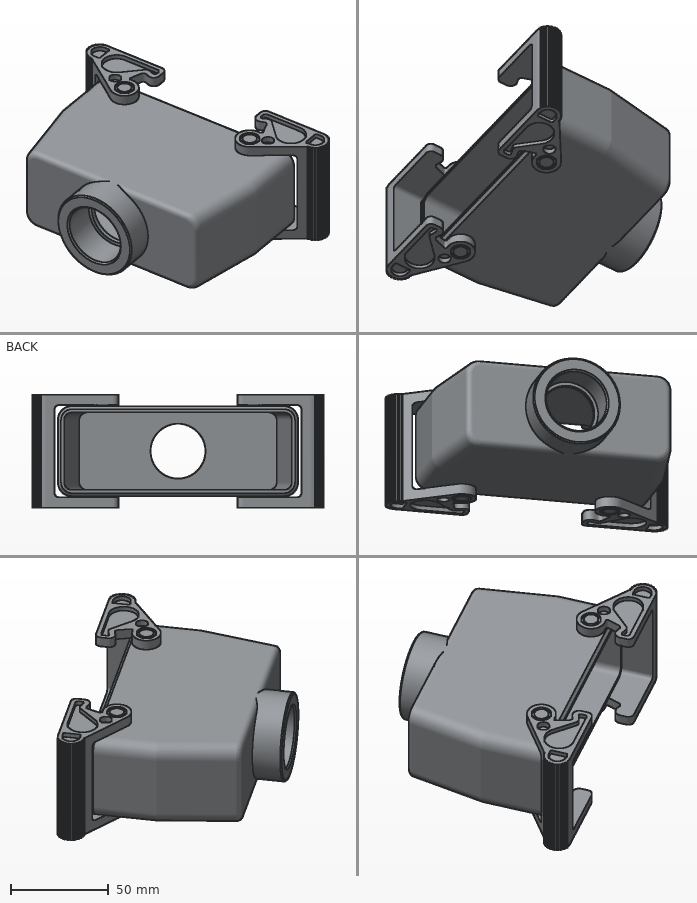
import cadquery as cq
import math


hood_half_width = 61.6
hood_half_height = 23.1
hood_depth = 77.1
taper_start = 34.6
front_half_width = 53.8
end_radius = 7.2
front_radius = 3.0
rim_chamfer = 1.6
wall = 3.3
front_wall = 5.0

overall_depth = 108.0
entry_radius = hood_half_height
entry_chamfer = 0.7
bore_radius = 16.0
bore_chamfer = 0.9
bore_depth = 17.9
mouth_radius = 14.0

lever_height = 58.0
lever_half_height = lever_height / 2
grip_x = -67.4
grip_y = 8.8
grip_radius = 6.9
ridge_height = 0.3
ridge_count = 11
ridge_pitch = 15.0
first_ridge_angle = -4.25 * ridge_pitch
ridge_width = 0.9
lever_top = grip_y + grip_radius
entry_end = overall_depth - lever_top
pivot_x = -39.2
pivot_y = -9.5
pivot_radius = 7.5
hook_x = -30.4
hook_tip_y = 4.0
notch_x = -38.6
notch_y = 7.2
notch_foot_x = -41.9
notch_foot_y = pivot_y + pivot_radius
hook_corner_radius = 3.0
hook_tip_radius = 3.5
notch_radius = 1.8
notch_foot_radius = 0.9
window_x = -63.2
window_gap = 0.5
window_radius = 2.2
window_half_height = hood_half_height + window_gap

pocket_depth = 2.4
drop_x = -54.5
drop_y = 5.4
drop_radius = 7.8
drop_end_x = -32.8
drop_end_y = 8.5
drop_neck_y = 10.5
drop_corner_radius = 1.5
drop_tip_radius = 1.0
drop_neck_radius = 2.4
d_pocket_radius = 4.6
d_pocket_flat_x = -64.5
d_pocket_corner = 0.7
arm_hole_x = -47.9
arm_hole_y = -5.5
arm_hole_radius = 3.1
arm_hole_depth = 3.3
pin_radius = 3.7
pin_groove_radius = 5.0
pin_groove_depth = 1.2


def hood_block(half_width, front_width, half_height, depth):
    """Tapered block from Y = 0 down to Y = -depth, narrower towards the cable entry."""
    return (
        cq.Workplane("XY")
        .moveTo(-half_width, 0)
        .lineTo(half_width, 0)
        .lineTo(half_width, -taper_start)
        .lineTo(front_width, -depth)
        .lineTo(-front_width, -depth)
        .lineTo(-half_width, -taper_start)
        .close()
        .extrude(half_height, both=True)
    )


def round_end_edges(block, radius):
    """Round the long edges where the two end walls meet the top and bottom."""
    bounds = block.val().BoundingBox()
    for side in (-1, 1):
        near = (side * front_half_width / 2, bounds.ymin + 1.5, bounds.zmin - 1.5)
        far = (side * (hood_half_width + 1.5), bounds.ymax - 1.5, bounds.zmax + 1.5)
        block = block.edges(cq.selectors.BoxSelector(near, far)).edges("#Z").fillet(radius)
    return block


def hood_outside():
    body = hood_block(hood_half_width, front_half_width, hood_half_height, hood_depth)
    body = round_end_edges(body, end_radius)
    body = body.faces("<Y").edges().fillet(front_radius)
    return body.faces(">Y").edges().chamfer(rim_chamfer)


def hood_inside():
    body = hood_block(
        hood_half_width - wall,
        front_half_width - wall,
        hood_half_height - wall,
        hood_depth - front_wall,
    )
    return round_end_edges(body, end_radius - wall)


def entry_cylinder(radius, y_start, y_end):
    """Cylinder on the cable axis between two depths below the rim."""
    return cq.Workplane("XZ", origin=(0, -y_start, 0)).circle(radius).extrude(y_end - y_start)


def cable_entry():
    socket = entry_cylinder(entry_radius, hood_depth - front_radius, entry_end)
    return socket.faces("<Y").edges().chamfer(entry_chamfer)


def cable_bore():
    mouth = entry_cylinder(mouth_radius, hood_depth - front_wall, entry_end)
    bore = entry_cylinder(bore_radius, entry_end - bore_depth, entry_end)
    lead_in = (
        cq.Workplane("XZ", origin=(0, -entry_end, 0))
        .circle(bore_radius + bore_chamfer)
        .extrude(-bore_chamfer, taper=45)
    )
    return mouth.union(bore).union(lead_in)


def plate(outline):
    """Solid of a closed XY outline through the full lever height."""
    return outline.close().extrude(lever_half_height, both=True)


def fillet_at(body, x, y, radius):
    """Round the upright edge standing at (x, y)."""
    reach = 0.3
    low = (x - reach, y - reach, -lever_height)
    high = (x + reach, y + reach, lever_height)
    box = cq.selectors.BoxSelector(low, high)
    return body.edges("|Z").edges(box).fillet(radius)


def upright(x, y, radius):
    """Cylinder through the full lever height."""
    return cq.Workplane("XY").center(x, y).circle(radius).extrude(lever_half_height, both=True)


def tangent_point(start_x, start_y):
    """Point low on the pivot boss where a line from the start touches it."""
    run = pivot_x - start_x
    drop = pivot_y - start_y
    distance = math.hypot(run, drop)
    angle = math.atan2(drop, run) - math.pi + math.acos(pivot_radius / distance)
    return pivot_x + pivot_radius * math.cos(angle), pivot_y + pivot_radius * math.sin(angle)


def lever_profile():
    underside_y = grip_y - grip_radius - ridge_height
    outline = (
        cq.Workplane("XY")
        .moveTo(grip_x, lever_top)
        .lineTo(hook_x, lever_top)
        .lineTo(hook_x, hook_tip_y)
        .lineTo(notch_x, notch_y)
        .lineTo(notch_foot_x, notch_foot_y)
        .lineTo(pivot_x, notch_foot_y)
        .lineTo(pivot_x, pivot_y)
        .lineTo(*tangent_point(grip_x, underside_y))
        .lineTo(grip_x, underside_y)
    )
    body = plate(outline)
    body = fillet_at(body, hook_x, lever_top, hook_corner_radius)
    body = fillet_at(body, hook_x, hook_tip_y, hook_tip_radius)
    body = fillet_at(body, notch_x, notch_y, notch_radius)
    body = fillet_at(body, notch_foot_x, notch_foot_y, notch_foot_radius)
    return body.union(upright(pivot_x, pivot_y, pivot_radius))


def grip():
    """Round finger grip with narrow ridges around its outer side."""
    body = upright(grip_x, grip_y, grip_radius)
    tip_radius = grip_radius + ridge_height
    tip_cylinder = upright(grip_x, grip_y, tip_radius)
    for index in range(ridge_count):
        bar = (
            cq.Workplane("XY")
            .center(-tip_radius / 2, 0)
            .rect(tip_radius + ridge_height, ridge_width)
            .extrude(lever_half_height, both=True)
            .rotate((0, 0, 0), (0, 0, 1), first_ridge_angle + index * ridge_pitch)
            .translate((grip_x, grip_y, 0))
        )
        body = body.union(bar.intersect(tip_cylinder))
    return body


def lever_window():
    """Opening between the two arms that clears the hood, reaching to the middle plane."""
    width = -window_x
    return (
        cq.Workplane("XY")
        .box(width, 2 * hood_depth, 2 * window_half_height)
        .edges("|Y and <X")
        .fillet(window_radius)
        .translate((-width / 2, 0, 0))
    )


def drop_pocket():
    """Teardrop-shaped solid: a large round end and a narrow tail reaching into the hook."""
    diagonal = drop_radius * math.sqrt(0.5)
    touch_x = drop_x + diagonal
    touch_y = drop_y - diagonal
    neck_x = touch_x + drop_neck_y - touch_y
    top_y = drop_y + drop_radius
    outline = (
        cq.Workplane("XY")
        .moveTo(drop_x, top_y)
        .lineTo(drop_end_x, top_y)
        .lineTo(drop_end_x, drop_end_y)
        .lineTo(neck_x, drop_neck_y)
        .lineTo(touch_x, touch_y)
        .threePointArc((drop_x - drop_radius, drop_y), (drop_x, top_y))
    )
    body = plate(outline)
    body = fillet_at(body, drop_end_x, top_y, drop_corner_radius)
    body = fillet_at(body, drop_end_x, drop_end_y, drop_tip_radius)
    return fillet_at(body, neck_x, drop_neck_y, drop_neck_radius)


def d_pocket():
    outline = (
        cq.Workplane("XY")
        .moveTo(grip_x, grip_y + d_pocket_radius)
        .lineTo(d_pocket_flat_x, grip_y + d_pocket_radius)
        .lineTo(d_pocket_flat_x, grip_y - d_pocket_radius)
        .lineTo(grip_x, grip_y - d_pocket_radius)
        .threePointArc((grip_x - d_pocket_radius, grip_y), (grip_x, grip_y + d_pocket_radius))
    )
    return plate(outline).edges("|Z and >X").fillet(d_pocket_corner)


def cut_both_faces(body, cutter, depth):
    """Sink the full-height cutter to a depth from the top and the bottom face."""
    shift = lever_height - depth
    return body.cut(cutter.translate((0, 0, shift))).cut(cutter.translate((0, 0, -shift)))


def lever():
    body = lever_profile().union(grip()).cut(lever_window())
    body = cut_both_faces(body, upright(arm_hole_x, arm_hole_y, arm_hole_radius), arm_hole_depth)
    body = cut_both_faces(body, drop_pocket(), pocket_depth)
    body = cut_both_faces(body, d_pocket(), pocket_depth)
    pin = upright(pivot_x, pivot_y, pin_radius)
    pin_groove = upright(pivot_x, pivot_y, pin_groove_radius).cut(pin)
    body = cut_both_faces(body, pin_groove, pin_groove_depth)
    return body.union(pin)


left_lever = lever()
result = (
    hood_outside()
    .union(cable_entry())
    .union(left_lever)
    .union(left_lever.mirror("YZ"))
    .cut(hood_inside())
    .cut(cable_bore())
    .solids()
)